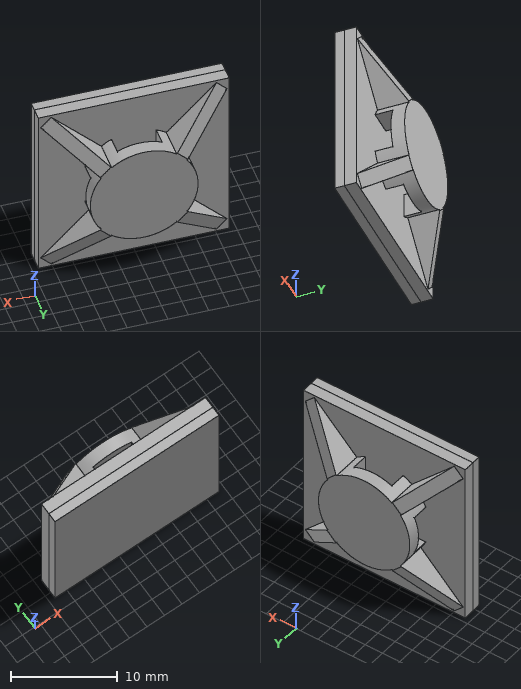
import cadquery as cq

SIDE = 18.75
PAD_THICKNESS = 1.0
BASE_THICKNESS = 1.22
HUB_HEIGHT = 3.19
HUB_DIAMETER = 10.58
RIB_WIDTH = 1.46
RIB_TOP_REACH = 5.35
RIB_FOOT_REACH = 12.19
SLOT_WIDTH = 4.39
SLOT_HEIGHT = 1.8
RIB_COUNT = 4

FRONT_Y = -(PAD_THICKNESS + BASE_THICKNESS + HUB_HEIGHT) / 2
BASE_Y = FRONT_Y + PAD_THICKNESS
HUB_Y = BASE_Y + BASE_THICKNESS
HUB_TOP_Y = HUB_Y + HUB_HEIGHT


def square_plate(start_y, thickness):
    """Square plate that grows toward +Y from start_y."""
    return cq.Workplane("XY").box(SIDE, thickness, SIDE).translate((0, start_y + thickness / 2, 0))


def make_hub():
    """Round hub on the back of the base plate."""
    return cq.Workplane("XZ", origin=(0, HUB_Y, 0)).circle(HUB_DIAMETER / 2).extrude(-HUB_HEIGHT)


def make_rib(angle):
    """Sloping rib from the hub axis outward, turned about Y by angle."""
    profile = [(0, HUB_Y), (RIB_FOOT_REACH, HUB_Y), (RIB_TOP_REACH, HUB_TOP_Y), (0, HUB_TOP_Y)]
    rib = cq.Workplane("XY").polyline(profile).close().extrude(RIB_WIDTH / 2, both=True)
    return rib.rotate((0, 0, 0), (0, 1, 0), angle)


def make_slots():
    """Two crossing tunnels along X and Z, floored by the base plate."""
    slot_y = HUB_Y + SLOT_HEIGHT / 2
    along_x = cq.Workplane("XY").box(SIDE, SLOT_HEIGHT, SLOT_WIDTH)
    along_z = cq.Workplane("XY").box(SLOT_WIDTH, SLOT_HEIGHT, SIDE)
    return along_x.union(along_z).translate((0, slot_y, 0))


def make_mount():
    """Base plate with its hub, diagonal ribs and crossing slots."""
    mount = square_plate(BASE_Y, BASE_THICKNESS).union(make_hub())
    for index in range(RIB_COUNT):
        mount = mount.union(make_rib(45 + index * 360 / RIB_COUNT))
    return mount.cut(make_slots())


pad = square_plate(FRONT_Y, PAD_THICKNESS)
mount = make_mount()

result = cq.Compound.makeCompound([pad.val(), mount.val()])